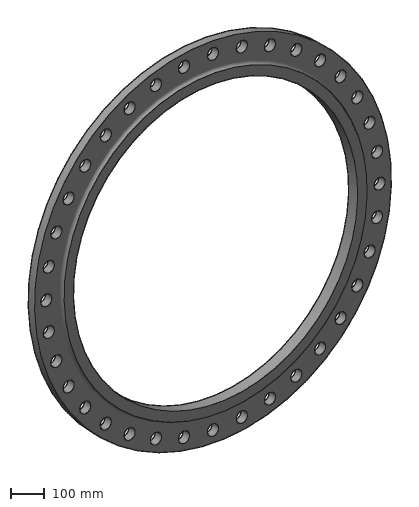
import cadquery as cq
import math

outer_diameter = 1346.2
bore_diameter = 1071.5625
face_diameter = 1143.0
total_thickness = 44.45
plate_thickness = 31.75
face_fillet_radius = 9.525
bolt_circle_diameter = 1257.3
bolt_hole_diameter = 41.275
bolt_count = 36


def flange_ring():
    """Plate and raised face revolved about X, with a concave fillet where they meet."""
    outer_radius = outer_diameter / 2
    bore_radius = bore_diameter / 2
    face_radius = face_diameter / 2

    fillet_end_x = plate_thickness + face_fillet_radius
    fillet_start_radius = face_radius + face_fillet_radius
    fillet_middle_offset = face_fillet_radius * math.sqrt(0.5)
    fillet_middle = (fillet_end_x - fillet_middle_offset, fillet_start_radius - fillet_middle_offset)

    profile = (
        cq.Workplane("XZ")
        .moveTo(0, bore_radius)
        .lineTo(0, outer_radius)
        .lineTo(plate_thickness, outer_radius)
        .lineTo(plate_thickness, fillet_start_radius)
        .threePointArc(fillet_middle, (fillet_end_x, face_radius))
        .lineTo(total_thickness, face_radius)
        .lineTo(total_thickness, bore_radius)
        .close()
    )
    return profile.revolve(360, (0, 0, 0), (1, 0, 0))


def bolt_holes():
    """Evenly spaced through holes, the first toward +Y."""
    return (
        cq.Workplane("YZ")
        .polarArray(bolt_circle_diameter / 2, 0, 360, bolt_count)
        .circle(bolt_hole_diameter / 2)
        .extrude(plate_thickness)
    )


result = flange_ring().cut(bolt_holes())